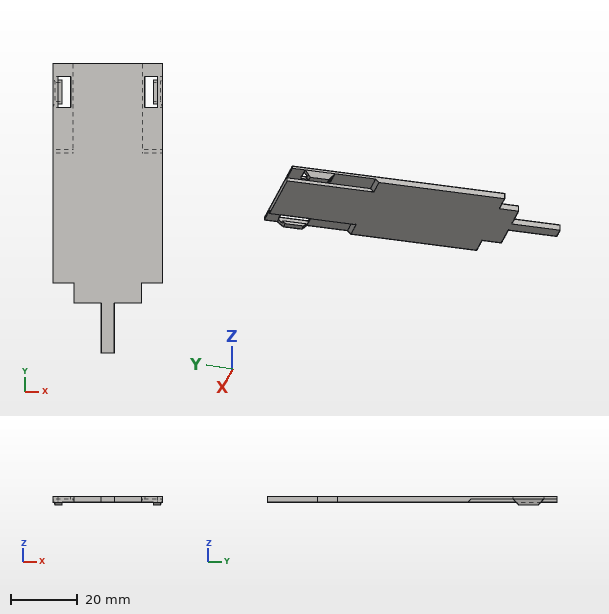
import cadquery as cq

length = 86.6
plate_width = 32.8
plate_thickness = 1.8
tongue_width = 4.0
tongue_length = 15.0
neck_width = 20.2
neck_length = 6.0
neck_end = tongue_length + neck_length

strip_thickness = 0.8
strip_width = 6.1
strip_length = 26.8
strip_bevel = plate_thickness - strip_thickness

window_width = 3.7
window_length = 9.2
window_edge_offset = 1.6
window_back_offset = 4.0

latch_depth = 2.7
latch_root_length = 9.2
latch_tip_length = 5.7
latch_inner_offset = 2.8
latch_tip_offset = 0.7

half_width = plate_width / 2
window_center_y = length - window_back_offset - window_length / 2


def make_plate():
    outline = [
        (tongue_width / 2, 0),
        (tongue_width / 2, tongue_length),
        (neck_width / 2, tongue_length),
        (neck_width / 2, neck_end),
        (half_width, neck_end),
        (half_width, length),
        (0, length),
        (0, 0),
    ]
    half = cq.Workplane("XY").polyline(outline).close().extrude(-plate_thickness)
    return half.union(half.mirror("YZ"))


def make_strip_recess():
    """Recess on the -X side, with a 45 degree bevel at its front end."""
    front = length - strip_length
    profile = [
        (length, -strip_thickness),
        (front + strip_bevel, -strip_thickness),
        (front, -plate_thickness),
        (length, -plate_thickness),
    ]
    recess = cq.Workplane("YZ").workplane(offset=-half_width)
    return recess.polyline(profile).close().extrude(strip_width)


def make_window():
    center_x = -half_width + window_edge_offset + window_width / 2
    window = cq.Workplane("XY").center(center_x, window_center_y)
    return window.rect(window_width, window_length).extrude(-plate_thickness)


def make_latch():
    """L-shaped latch with a sloped outer face and ends that taper downwards."""
    section = [
        (-half_width, -strip_thickness),
        (-half_width + window_edge_offset, -strip_thickness),
        (-half_width + window_edge_offset, -plate_thickness),
        (-half_width + latch_inner_offset, -plate_thickness),
        (-half_width + latch_inner_offset, -latch_depth),
        (-half_width + latch_tip_offset, -latch_depth),
    ]
    back = window_center_y + latch_root_length / 2
    bar = cq.Workplane("XZ", origin=(0, back, 0)).polyline(section).close().extrude(latch_root_length)

    side_profile = [
        (window_center_y - latch_root_length / 2, -strip_thickness),
        (window_center_y + latch_root_length / 2, -strip_thickness),
        (window_center_y + latch_tip_length / 2, -latch_depth),
        (window_center_y - latch_tip_length / 2, -latch_depth),
    ]
    taper = cq.Workplane("YZ").workplane(offset=-half_width).polyline(side_profile).close()
    return bar.intersect(taper.extrude(latch_inner_offset))


cuts = make_strip_recess().union(make_window())
latch = make_latch()
result = make_plate().cut(cuts).cut(cuts.mirror("YZ"))
result = result.union(latch).union(latch.mirror("YZ"))